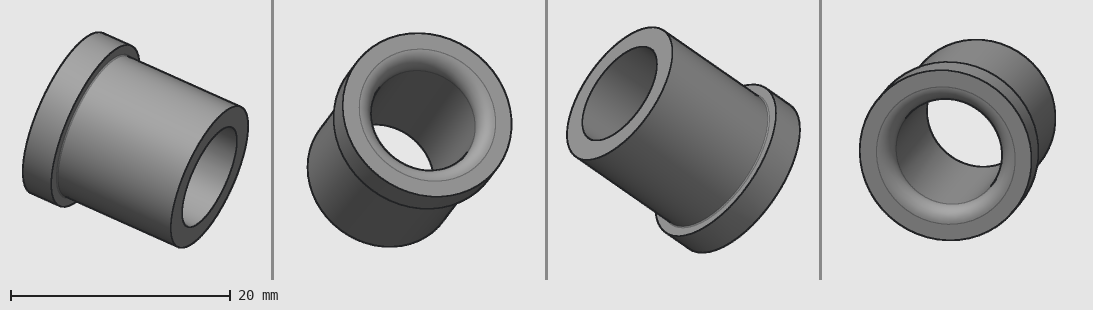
import cadquery as cq

total_length = 15.0
flange_diameter = 16.0
flange_thickness = 3.0
body_diameter = 14.0
bore_diameter = 9.9
bore_entry_radius = 1.5
shoulder_fillet_radius = 0.1


def cylinder(diameter, length):
    """Solid cylinder along +X, starting at X = 0."""
    return cq.Workplane("YZ").circle(diameter / 2).extrude(length)


flange = cylinder(flange_diameter, flange_thickness)
body = cylinder(body_diameter, total_length)
bushing = flange.union(body)

shoulder_face = bushing.faces("<X[1]")
bushing = shoulder_face.edges(cq.selectors.RadiusNthSelector(0)).fillet(shoulder_fillet_radius)

bushing = bushing.cut(cylinder(bore_diameter, total_length))
mouth_edge = bushing.faces("<X").edges(cq.selectors.RadiusNthSelector(0))
result = mouth_edge.fillet(bore_entry_radius)